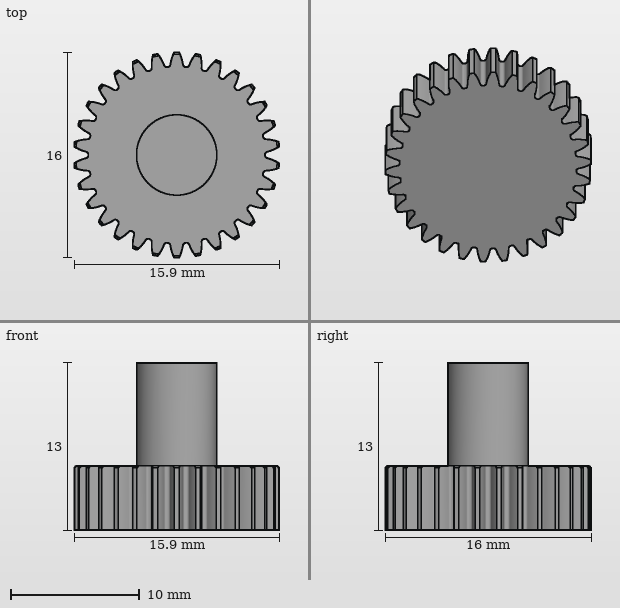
import cadquery as cq
import math

TOOTH_COUNT = 30
MODULE = 0.5
DEDENDUM_FACTOR = 1.25
GEAR_WIDTH = 5.0
TIP_WIDTH = 0.37
FLANK_RADIUS = 3.25
TIP_CHAMFER = 0.165
FILLET_RADIUS = 0.2
SHAFT_DIAMETER = 6.25
TOTAL_HEIGHT = 13.0
FIRST_TOOTH_ANGLE = math.radians(90)

PITCH_RADIUS = MODULE * TOOTH_COUNT / 2
TIP_RADIUS = PITCH_RADIUS + MODULE
ROOT_RADIUS = PITCH_RADIUS - DEDENDUM_FACTOR * MODULE
TOOTH_PITCH = 2 * math.pi / TOOTH_COUNT

TIP_ANGLE = math.asin(TIP_WIDTH / 2 / TIP_RADIUS)


def polar(radius, angle):
    return (radius * math.cos(angle), radius * math.sin(angle))


def circle_crossing(first, first_radius, second, second_radius):
    """Crossing point of two circles on the left of the line from first to second."""
    dx = second[0] - first[0]
    dy = second[1] - first[1]
    distance = math.hypot(dx, dy)
    bearing = math.atan2(dy, dx)
    cosine = (first_radius**2 + distance**2 - second_radius**2) / (2 * first_radius * distance)
    offset_x, offset_y = polar(first_radius, bearing + math.acos(cosine))
    return (first[0] + offset_x, first[1] + offset_y)


def toward(start, end, distance):
    """Point at a distance from start along the line to end."""
    bearing = math.atan2(end[1] - start[1], end[0] - start[0])
    offset_x, offset_y = polar(distance, bearing)
    return (start[0] + offset_x, start[1] + offset_y)


def midpoint(first, second):
    return ((first[0] + second[0]) / 2, (first[1] + second[1]) / 2)


ORIGIN = (0, 0)
TIP_CORNER = polar(TIP_RADIUS, TIP_ANGLE)
PITCH_POINT = polar(PITCH_RADIUS, TOOTH_PITCH / 4)
FLANK_CENTER = circle_crossing(TIP_CORNER, FLANK_RADIUS, PITCH_POINT, FLANK_RADIUS)

FILLET_CENTER = circle_crossing(
    ORIGIN, ROOT_RADIUS + FILLET_RADIUS, FLANK_CENTER, FLANK_RADIUS + FILLET_RADIUS
)
FLANK_START = toward(FLANK_CENTER, FILLET_CENTER, FLANK_RADIUS)
FILLET_END = toward(ORIGIN, FILLET_CENTER, ROOT_RADIUS)
FILLET_MIDDLE = toward(FILLET_CENTER, midpoint(FLANK_START, FILLET_END), FILLET_RADIUS)
FILLET_END_ANGLE = math.atan2(FILLET_END[1], FILLET_END[0])


def on_tooth(point, center_angle, side):
    """Place a local point on a tooth; side -1 mirrors it onto the clockwise flank."""
    radius = math.hypot(point[0], point[1])
    angle = math.atan2(point[1], point[0])
    return polar(radius, center_angle + side * angle)


def add_tooth(outline, center_angle):
    """Extend the outline counterclockwise over one tooth and the gap after it."""

    def leading(point):
        return on_tooth(point, center_angle, -1)

    def trailing(point):
        return on_tooth(point, center_angle, 1)

    gap_middle = polar(ROOT_RADIUS, center_angle + TOOTH_PITCH / 2)
    gap_end = polar(ROOT_RADIUS, center_angle + TOOTH_PITCH - FILLET_END_ANGLE)
    return (
        outline.threePointArc(leading(FILLET_MIDDLE), leading(FLANK_START))
        .threePointArc(leading(PITCH_POINT), leading(TIP_CORNER))
        .threePointArc(polar(TIP_RADIUS, center_angle), trailing(TIP_CORNER))
        .threePointArc(trailing(PITCH_POINT), trailing(FLANK_START))
        .threePointArc(trailing(FILLET_MIDDLE), trailing(FILLET_END))
        .threePointArc(gap_middle, gap_end)
    )


def make_gear():
    """Spur gear with the tooth tips chamfered at the shaft end."""
    start_angle = FIRST_TOOTH_ANGLE - FILLET_END_ANGLE
    outline = cq.Workplane("XY").moveTo(*polar(ROOT_RADIUS, start_angle))
    for index in range(TOOTH_COUNT):
        outline = add_tooth(outline, FIRST_TOOTH_ANGLE + index * TOOTH_PITCH)
    toothed = outline.close().extrude(GEAR_WIDTH)
    blank = cq.Workplane("XY").circle(TIP_RADIUS).extrude(GEAR_WIDTH)
    blank = blank.faces(">Z").chamfer(TIP_CHAMFER)
    return toothed.intersect(blank)


def make_shaft():
    """Plain round shaft rising from the gear face."""
    face = cq.Workplane("XY").workplane(offset=GEAR_WIDTH)
    return face.circle(SHAFT_DIAMETER / 2).extrude(TOTAL_HEIGHT - GEAR_WIDTH)


result = make_gear().union(make_shaft())